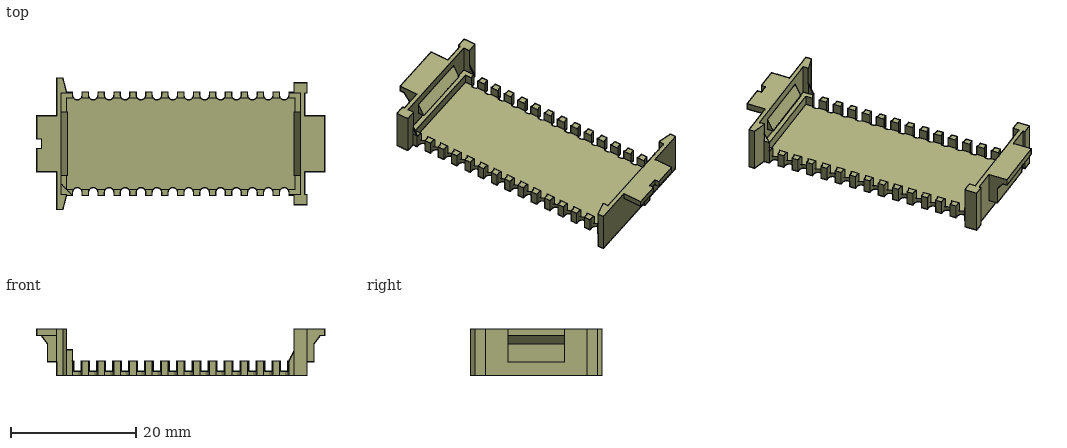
import cadquery as cq

length = 46.0
height = 7.48

wall_inner_x = 19.1
wall_outer_x = 19.8
left_wall_half_y = 10.5
left_cheek_tip_x = 18.8
left_cheek_root_x = 18.22
right_wall_half_y = 9.77
post_inner_x = 18.05
post_outer_x = 20.15
pocket_half_y = 8.07

floor_thickness = 0.73
rim_height = 2.36
rim_half_y = 8.26
rim_inner_half_x = 18.25
rim_inner_half_y = 7.27

tooth_pitch = 2.54
slot_count = 14
slot_width = 1.48
slot_radius = slot_width / 2
slot_end_y = 7.02
rim_corner_x = ((slot_count - 1) * tooth_pitch + slot_width) / 2

slope_rise_per_run = 1.95

latch_half_y = 5.1
latch_depth = 1.03
latch_tip_z = 4.0

corner_block_height = 4.17

tab_half_y = 4.5
tab_thickness = 1.1
tab_underside_z = height - tab_thickness
rib_outer_x = 21.3
rib_bottom_z = 2.22
rib_slope_run = 0.95
rib_slope_drop = 1.3
left_rib_width = 1.5


def box(x_min, x_max, y_min, y_max, z_min, z_max):
    """Axis-aligned box between the given limits."""
    size = (x_max - x_min, y_max - y_min, z_max - z_min)
    return cq.Workplane("XY").box(*size, centered=False).translate((x_min, y_min, z_min))


def side_profile(points, y_min, y_max):
    """Prism of an XZ outline between two Y positions."""
    prism = cq.Workplane("XZ").polyline(points).close().extrude(y_min - y_max)
    return prism.translate((0, y_min, 0))


def mirror_x(shape):
    return shape.mirror("YZ")


def mirror_y(shape):
    return shape.mirror("XZ")


def make_tray():
    rim = box(-wall_inner_x, wall_inner_x, -rim_half_y, rim_half_y, 0, rim_height)
    recess = box(-rim_inner_half_x, rim_inner_half_x, -rim_inner_half_y, rim_inner_half_y,
                 floor_thickness, rim_height)
    return rim.cut(recess)


def make_tooth_slots():
    """Round-ended slots open to the long sides of the rim."""
    arc_center_y = slot_end_y + slot_radius
    slot = (
        cq.Workplane("XY")
        .moveTo(-slot_radius, rim_half_y)
        .lineTo(-slot_radius, arc_center_y)
        .threePointArc((0, slot_end_y), (slot_radius, arc_center_y))
        .lineTo(slot_radius, rim_half_y)
        .close()
        .extrude(rim_height)
    )
    slots = cq.Workplane("XY")
    for index in range(slot_count):
        x = (index - (slot_count - 1) / 2) * tooth_pitch
        placed = slot.translate((x, 0, 0))
        slots = slots.add(placed).add(mirror_y(placed))
    return slots.combine()


def make_left_wall():
    """Wall with tapered cheeks that overhang the tray at both ends."""
    outline = [
        (-wall_outer_x, -left_wall_half_y),
        (-left_cheek_tip_x, -left_wall_half_y),
        (-left_cheek_root_x, -rim_half_y),
        (-left_cheek_root_x, -pocket_half_y),
        (-wall_inner_x, -pocket_half_y),
        (-wall_inner_x, pocket_half_y),
        (-left_cheek_root_x, pocket_half_y),
        (-left_cheek_root_x, rim_half_y),
        (-left_cheek_tip_x, left_wall_half_y),
        (-wall_outer_x, left_wall_half_y),
    ]
    return cq.Workplane("XY").polyline(outline).close().extrude(height)


def make_right_wall():
    """Wall with an upright post at each end."""
    wall = box(wall_inner_x, wall_outer_x, -right_wall_half_y, right_wall_half_y, 0, height)
    post = box(post_inner_x, post_outer_x, pocket_half_y, right_wall_half_y, 0, height)
    return wall.union(post).union(mirror_y(post))


def make_gusset(root_x):
    """Thin ramp on the +X, +Y corner of the rim, rising to the end wall face at root_x."""
    top_z = rim_height + (root_x - rim_corner_x) * slope_rise_per_run
    outline = [(rim_corner_x, 0), (root_x, 0), (root_x, top_z), (rim_corner_x, rim_height)]
    return side_profile(outline, pocket_half_y, rim_half_y)


def make_latch():
    """Wedge on the inner face of the +X wall, flat below and sloped above."""
    tip_x = wall_inner_x - latch_depth
    top_z = latch_tip_z + latch_depth * slope_rise_per_run
    outline = [(tip_x, latch_tip_z), (wall_inner_x, latch_tip_z), (wall_inner_x, top_z)]
    return side_profile(outline, -latch_half_y, latch_half_y)


def make_corner_block():
    """Block filling the -X, -Y pocket corner behind a 45 degree face."""
    leg = wall_inner_x - rim_corner_x
    outline = [
        (-wall_inner_x, -rim_half_y),
        (-rim_corner_x, -rim_half_y),
        (-wall_inner_x, -rim_half_y + leg),
    ]
    return cq.Workplane("XY").polyline(outline).close().extrude(corner_block_height)


def make_tab(rib_half_y):
    """Finger tab on the +X wall with a rib below it."""
    tab = box(wall_outer_x, length / 2, -tab_half_y, tab_half_y, tab_underside_z, height)
    rib_outline = [
        (wall_outer_x, rib_bottom_z),
        (rib_outer_x, rib_bottom_z),
        (rib_outer_x, tab_underside_z - rib_slope_drop),
        (rib_outer_x + rib_slope_run, tab_underside_z),
        (wall_outer_x, tab_underside_z),
    ]
    return tab.union(side_profile(rib_outline, -rib_half_y, rib_half_y))


def make_left_tab():
    """Tab with a narrow rib and a notch that ends where the rib begins."""
    half_width = left_rib_width / 2
    notch_x = rib_outer_x + rib_slope_run
    notch = box(notch_x, length / 2, -half_width, half_width, tab_underside_z, height)
    return mirror_x(make_tab(half_width).cut(notch))


right_gusset = make_gusset(post_inner_x)
left_gusset = mirror_x(make_gusset(left_cheek_root_x))

result = (
    make_tray()
    .cut(make_tooth_slots())
    .union(make_left_wall())
    .union(make_right_wall())
    .union(right_gusset)
    .union(mirror_y(right_gusset))
    .union(left_gusset)
    .union(make_corner_block())
    .union(make_latch())
    .union(mirror_x(make_latch()))
    .union(make_left_tab())
    .union(make_tab(tab_half_y))
)